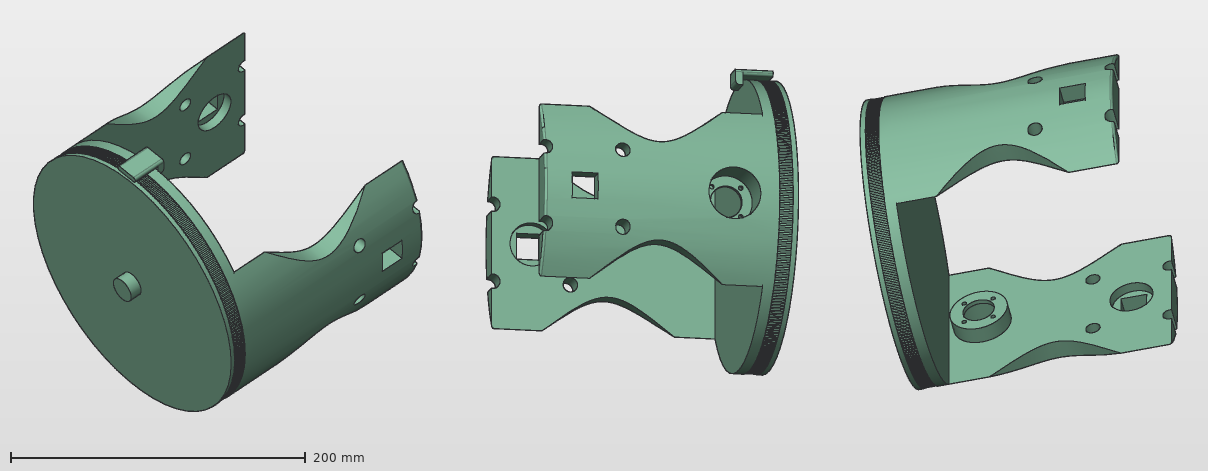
import cadquery as cq
import math


overall_depth = 185.0
overall_height = 206.6

disc_diameter = 200.0
disc_radius = disc_diameter / 2
disc_thickness = 20.9
band_start = 3.7
band_end = 13.0
tooth_count = 260
band_inset = 0.5
tooth_tip_radius = disc_radius - band_inset
tooth_pitch_angle = 2 * math.pi / tooth_count
groove_half_share = 0.25
groove_depth = tooth_tip_radius * tooth_pitch_angle * groove_half_share

pin_diameter = 18.0
pin_length = 9.0

arm_inner_x = 80.0
arm_end_y = overall_depth - pin_length
arm_end_fillet = 1.7

waist_y = 94.8
waist_half_length = 46.0
waist_floor_z = 34.3
waist_end_slope = 0.75

mount_y = 148.0
mount_pitch = 53.7
mount_hole_diameter = 10.0
window_size = 18.0
window_recess_diameter = 30.0
window_recess_depth = 7.0

motor_y = 44.2
cup_outer_diameter = 40.0
cup_bore_diameter = 36.0
cup_height = 12.0
cup_floor = 3.0
cup_shaft_diameter = 22.0
cup_screw_diameter = 3.0
cup_screw_pitch = 20.0

clip_x = -5.8
clip_width = 18.0
clip_depth = 26.0
clip_thickness = 4.1
clip_side_fillet = 1.98
clip_top_z = overall_height - disc_radius
clip_hook_bottom_z = 95.7
clip_hook_fillet = 2.7


def cylinder_y(radius, y_start, y_end):
    """Round bar on the wheel axis between two Y positions."""
    return cq.Workplane("XZ", origin=(0, y_start, 0)).circle(radius).extrude(y_start - y_end)


def cylinder_x(diameter, y, z, x_start, x_end):
    """Round bar along X between two X positions."""
    bar = cq.Workplane("YZ", origin=(x_start, 0, 0)).center(y, z).circle(diameter / 2)
    return bar.extrude(x_end - x_start)


def rim_point(radius, pitches):
    """Point on the rim a given number of tooth pitches away from the +X axis."""
    angle = pitches * tooth_pitch_angle
    return (radius * math.cos(angle), radius * math.sin(angle))


def make_toothed_band():
    """Ring of teeth parted by half-round grooves, each groove as wide as a tooth."""
    band = cq.Workplane("XZ", origin=(0, band_start, 0))
    band = band.moveTo(*rim_point(tooth_tip_radius, -groove_half_share))
    for i in range(tooth_count):
        groove_floor = rim_point(tooth_tip_radius - groove_depth, i)
        band = band.threePointArc(groove_floor, rim_point(tooth_tip_radius, i + groove_half_share))
        if i < tooth_count - 1:
            band = band.lineTo(*rim_point(tooth_tip_radius, i + 1 - groove_half_share))
    return band.close().extrude(band_start - band_end)


def make_wheel():
    front_rim = cylinder_y(disc_radius, 0, band_start)
    back_rim = cylinder_y(disc_radius, band_end, disc_thickness)
    pin = cylinder_y(pin_diameter / 2, -pin_length, 0)
    return make_toothed_band().union(front_rim).union(back_rim).union(pin)


def make_arms():
    """Both arms, with the outer edge of their free ends rounded."""
    bar = cylinder_y(disc_radius, disc_thickness, arm_end_y)
    bar = bar.faces(">Y").edges().fillet(arm_end_fillet)
    gap = cq.Workplane("XY").box(2 * arm_inner_x, 2 * overall_depth, 2 * disc_diameter)
    return bar.cut(gap)


def make_waist_cut():
    """Cutter for the upper waist, running through both arms along X."""
    arm_edge_z = math.sqrt(disc_radius**2 - arm_inner_x**2)
    start = (waist_y - waist_half_length, arm_edge_z)
    middle = (waist_y, waist_floor_z)
    end = (waist_y + waist_half_length, arm_edge_z)
    outline = (
        cq.Workplane("YZ", origin=(-disc_radius, 0, 0))
        .moveTo(start[0], disc_radius)
        .lineTo(*start)
        .spline([middle, end], tangents=[(1, -waist_end_slope), (1, waist_end_slope)], includeCurrent=True)
        .lineTo(end[0], disc_radius)
        .close()
    )
    return outline.extrude(disc_diameter)


def cut_waists(arms):
    upper = make_waist_cut()
    return arms.cut(upper).cut(upper.mirror("XY"))


def cut_mounts(arms):
    """Round holes, square windows and the round recess behind each window."""
    for y_side in (-1, 1):
        for z_side in (-1, 1):
            y = mount_y + y_side * mount_pitch / 2
            z = z_side * mount_pitch / 2
            arms = arms.cut(cylinder_x(mount_hole_diameter, y, z, -disc_radius, disc_radius))
    window = cq.Workplane("XY", origin=(0, mount_y, 0)).box(disc_diameter, window_size, window_size)
    recess_x = arm_inner_x + window_recess_depth
    recess = cylinder_x(window_recess_diameter, mount_y, 0, -recess_x, recess_x)
    return arms.cut(window).cut(recess)


def add_motor_cup(arms):
    """Cup through the left arm, bored from outside, with shaft and screw holes in its floor."""
    cup_end_x = cup_height - arm_inner_x
    arms = arms.union(cylinder_x(cup_outer_diameter, motor_y, 0, -arm_inner_x, cup_end_x))
    arms = arms.cut(cylinder_x(cup_bore_diameter, motor_y, 0, -disc_radius, cup_end_x - cup_floor))
    arms = arms.cut(cylinder_x(cup_shaft_diameter, motor_y, 0, -disc_radius, cup_end_x))
    for y_side in (-1, 1):
        for z_side in (-1, 1):
            y = motor_y + y_side * cup_screw_pitch / 2
            z = z_side * cup_screw_pitch / 2
            arms = arms.cut(cylinder_x(cup_screw_diameter, y, z, -disc_radius, cup_end_x))
    return arms


def make_clip():
    """Round-sided plate over the rim, with a hook down the back of the disc."""
    plate_z = clip_top_z - clip_thickness / 2
    plate = (
        cq.Workplane("XY", origin=(clip_x, clip_depth / 2, plate_z))
        .box(clip_width, clip_depth, clip_thickness)
        .edges("|Y")
        .fillet(clip_side_fillet)
    )
    hook_depth = clip_depth - disc_thickness
    hook_height = plate_z - clip_hook_bottom_z
    hook = (
        cq.Workplane("XY")
        .box(clip_width, hook_depth, hook_height)
        .edges(">Y and <Z")
        .fillet(clip_hook_fillet)
        .translate((clip_x, disc_thickness + hook_depth / 2, clip_hook_bottom_z + hook_height / 2))
    )
    return plate.union(hook)


arms = add_motor_cup(cut_mounts(cut_waists(make_arms())))
result = make_wheel().union(arms).union(make_clip())